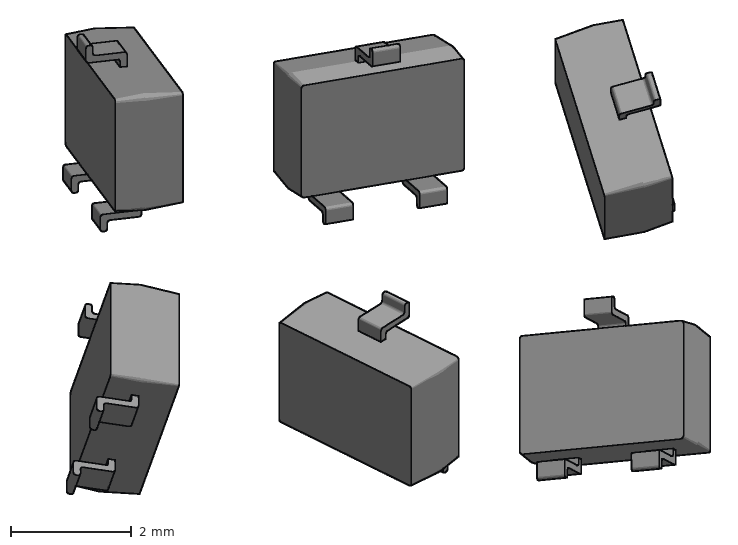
import cadquery as cq

body_width = 3.04
body_height = 2.10
front_depth = 0.50
back_depth = 0.67
draft_angle = 5.0
corner_radius = 0.10

lead_width = 0.50
lead_thickness = 0.12
lead_span = 3.00
standoff = 0.15
arm_outer_height = 1.3085
lead_embed = 0.20
bend_radius = 0.05
tip_radius = 0.05
bottom_lead_offset = 0.85


def body_half(depth, direction):
    """One half of the body, tapering away from the parting plane."""
    outline = (
        cq.Sketch()
        .rect(body_width, body_height)
        .vertices()
        .fillet(corner_radius)
    )
    plane = cq.Plane(origin=(0, 0, 0), xDir=(1, 0, 0), normal=(0, direction, 0))
    return cq.Workplane(plane).placeSketch(outline).extrude(depth, taper=draft_angle)


def round_edge(lead, y, z, radius):
    """Round the lead edge that runs along X through the point (y, z)."""
    edge = cq.selectors.NearestToPointSelector((0, y, z))
    return lead.edges("|X").edges(edge).fillet(radius)


def top_lead():
    """Z-shaped lead: up out of the body, forward along the arm, up to the foot tip."""
    root_back = lead_thickness / 2
    root_front = -lead_thickness / 2
    foot_front = -front_depth - standoff
    foot_back = foot_front + lead_thickness
    arm_inner_height = arm_outer_height - lead_thickness
    root_height = body_height / 2 - lead_embed
    tip_height = lead_span / 2

    lead = (
        cq.Workplane("YZ")
        .moveTo(root_back, root_height)
        .lineTo(root_back, arm_outer_height)
        .lineTo(foot_back, arm_outer_height)
        .lineTo(foot_back, tip_height)
        .lineTo(foot_front, tip_height)
        .lineTo(foot_front, arm_inner_height)
        .lineTo(root_front, arm_inner_height)
        .lineTo(root_front, root_height)
        .close()
        .extrude(lead_width / 2, both=True)
    )
    for y in (root_back, foot_back):
        lead = round_edge(lead, y, arm_outer_height, bend_radius)
    for y in (root_front, foot_front):
        lead = round_edge(lead, y, arm_inner_height, bend_radius)
    for y in (foot_back, foot_front):
        lead = round_edge(lead, y, tip_height, tip_radius)
    return lead


upper = top_lead()
lower = upper.mirror("XY")

result = body_half(back_depth, 1).union(body_half(front_depth, -1)).union(upper)
for side in (-1, 1):
    result = result.union(lower.translate((side * bottom_lead_offset, 0, 0)))